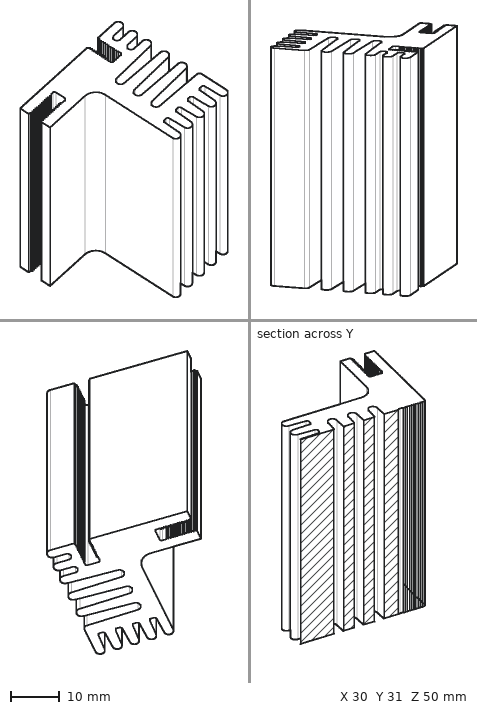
import cadquery as cq


width = 30.0
depth = 31.0
length = 50.0

leg_width = 8.0
arm_bottom_y = 14.0
inner_corner_radius = 3.0

back_fin_width = 2.1
back_fin_radius = back_fin_width / 2
back_fin_shoulder_y = depth - back_fin_radius
short_gap_count = 2
short_gap_width = 1.65
short_gap_depth = 4.5
short_fin_pitch = back_fin_width + short_gap_width
tall_gap_count = 3
tall_gap_mouth = 2.65
tall_gap_depth = 13.05
tall_gap_root_radius = 1.0
block_corner_radius = 0.8

side_fin_count = 5
side_fin_radius = 1.0
side_fin_shoulder_x = width - side_fin_radius
side_fin_first_y = depth - side_fin_radius
side_fin_last_y = arm_bottom_y + side_fin_radius
side_fin_pitch = (side_fin_first_y - side_fin_last_y) / (side_fin_count - 1)
side_gap_root_x = 24.6
side_gap_root_width = 1.45
side_gap_root_radius = 0.5

groove_root_width = 3.2
groove_crest_width = 2.6
groove_mouth_width = 3.4
groove_corner_radius = 0.4
tooth_pitch = 0.5
first_tooth = 0.5
leg_groove_depth = 8.0
leg_groove_tooth_count = 13
leg_groove_center_x = leg_width / 2
back_groove_depth = 6.5
back_groove_tooth_count = 10
back_groove_center_y = 23.05

groove_overrun = 1.0


def add_back_fin_tip(outline, fin_left):
    """Rounded tip of a fin pointing to +Y."""
    apex = (fin_left + back_fin_radius, depth)
    return outline.threePointArc(apex, (fin_left + back_fin_width, back_fin_shoulder_y))


def add_gap_root(outline, center_x, radius, bottom_y):
    """Rounded bottom of a gap between back fins; leaves the outline on its right wall."""
    root_y = bottom_y + radius
    outline = outline.lineTo(center_x - radius, root_y)
    return outline.threePointArc((center_x, bottom_y), (center_x + radius, root_y))


def add_back_fins(outline):
    """Short parallel fins, then tall tapered gaps, ending at the solid right-hand block."""
    fin_left = 0.0
    for _ in range(short_gap_count):
        outline = add_back_fin_tip(outline, fin_left)
        gap_center = fin_left + back_fin_width + short_gap_width / 2
        outline = add_gap_root(outline, gap_center, short_gap_width / 2, depth - short_gap_depth)
        fin_left += short_fin_pitch
        outline = outline.lineTo(fin_left, back_fin_shoulder_y)

    for gap_index in range(tall_gap_count):
        outline = add_back_fin_tip(outline, fin_left)
        gap_center = fin_left + back_fin_width + tall_gap_mouth / 2
        outline = add_gap_root(outline, gap_center, tall_gap_root_radius, depth - tall_gap_depth)
        fin_left += back_fin_width + tall_gap_mouth
        if gap_index < tall_gap_count - 1:
            outline = outline.lineTo(fin_left, back_fin_shoulder_y)

    outline = outline.lineTo(fin_left, depth - block_corner_radius)
    return outline.radiusArc((fin_left + block_corner_radius, depth), block_corner_radius)


def add_side_gap(outline, center_y):
    """Tapered gap between two side fins with a flat root and rounded root corners."""
    half_root = side_gap_root_width / 2
    corner_x = side_gap_root_x + side_gap_root_radius
    flat_half = half_root - side_gap_root_radius
    outline = outline.lineTo(corner_x, center_y + half_root)
    outline = outline.radiusArc((side_gap_root_x, center_y + flat_half), -side_gap_root_radius)
    outline = outline.lineTo(side_gap_root_x, center_y - flat_half)
    return outline.radiusArc((corner_x, center_y - half_root), -side_gap_root_radius)


def add_side_fins(outline):
    """Side fins from the back corner down to the underside of the arm."""
    for fin_index in range(side_fin_count):
        fin_y = side_fin_first_y - fin_index * side_fin_pitch
        outline = outline.lineTo(side_fin_shoulder_x, fin_y + side_fin_radius)
        fin_bottom = (side_fin_shoulder_x, fin_y - side_fin_radius)
        outline = outline.threePointArc((width, fin_y), fin_bottom)
        if fin_index < side_fin_count - 1:
            outline = add_side_gap(outline, fin_y - side_fin_pitch / 2)
    return outline


def make_body():
    """Finned L-section without the screw grooves."""
    outline = cq.Workplane("XY").moveTo(0, 0).lineTo(0, back_fin_shoulder_y)
    outline = add_back_fins(outline)
    outline = add_side_fins(outline)
    outline = outline.lineTo(leg_width + inner_corner_radius, arm_bottom_y)
    outline = outline.radiusArc((leg_width, arm_bottom_y - inner_corner_radius), -inner_corner_radius)
    outline = outline.lineTo(leg_width, 0)
    return outline.close().extrude(length)


def groove_wall(side, tooth_count, shift):
    """Points of one toothed wall from the mouth inwards; side is -1 (left) or +1 (right), and
    shift moves all the teeth deeper into the groove."""
    root = side * groove_root_width / 2
    crest = side * groove_crest_width / 2
    mouth = side * groove_mouth_width / 2
    points = [(mouth, -groove_overrun), (mouth, 0)]
    for tooth in range(tooth_count):
        crest_y = first_tooth + shift + tooth * tooth_pitch
        points.append((root, crest_y - tooth_pitch / 2))
        points.append((crest, crest_y))
    points.append((root, crest_y + tooth_pitch / 2))
    return points


def make_groove(groove_depth, tooth_count):
    """Cutter for a groove that opens at Y = 0 and runs towards +Y, centred on X = 0."""
    half_root = groove_root_width / 2
    flat_half = half_root - groove_corner_radius
    corner_y = groove_depth - groove_corner_radius
    left_wall = groove_wall(-1, tooth_count, tooth_pitch / 2)
    right_wall = groove_wall(1, tooth_count, 0)
    return (
        cq.Workplane("XY")
        .polyline(left_wall)
        .lineTo(-half_root, corner_y)
        .radiusArc((-flat_half, groove_depth), groove_corner_radius)
        .lineTo(flat_half, groove_depth)
        .radiusArc((half_root, corner_y), groove_corner_radius)
        .lineTo(*right_wall[-1])
        .polyline(right_wall[-2::-1], includeCurrent=True)
        .close()
        .extrude(length)
    )


leg_groove = make_groove(leg_groove_depth, leg_groove_tooth_count).translate((leg_groove_center_x, 0, 0))

back_groove = (
    make_groove(back_groove_depth, back_groove_tooth_count)
    .rotate((0, 0, 0), (0, 0, 1), -90)
    .translate((0, back_groove_center_y, 0))
)

result = make_body().cut(leg_groove).cut(back_groove)